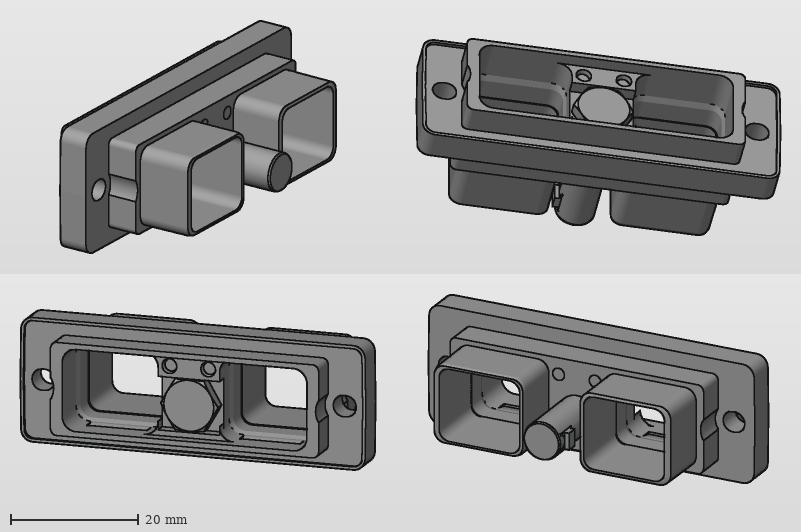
import cadquery as cq
import math


flange_length = 57.4
flange_height = 20.25
flange_front = 4.15
flange_thickness = 4.9
flange_corner_radius = 2.0
flange_end_bulge = 0.145
flange_rim_width = 0.5
flange_recess_depth = 0.5
mounting_hole_spacing = 50.05
mounting_slot_length = 3.8
mounting_slot_height = 3.45

box_length = 44.55
box_height = 15.15
box_depth = 14.2
box_corner_radius = 1.05
screw_relief_radius = 3.3

cavity_length = 40.65
cavity_height = 13.4
cavity_corner_radius = 2.3
divider_front = 2.05
divider_width = 10.2
bay_width = (cavity_length - divider_width) / 2
bay_center = (cavity_length + divider_width) / 4
funnel_start = 6.85
funnel_end = 7.9
funnel_inset = 0.35
throat_corner_radius = cavity_corner_radius - funnel_inset

pocket_front = 4.3
pocket_back = 6.2
pocket_width = 10.0
pocket_depth = 0.4

shroud_front = 11.6
shroud_back = 23.0
shroud_width = 15.9
shroud_height = 13.45
shroud_center = 12.89
shroud_corner_radius = 2.0
shroud_lip = 0.2
shroud_chamfer_length = 0.65
shroud_chamfer_inset = 0.2
shroud_draft = 0.2

bolt_z = -1.45
bolt_across_flats = 8.25
bolt_across_corners = bolt_across_flats / math.cos(math.pi / 6)
bolt_head_seat = 4.15
bolt_head_chamfer_height = 0.35
bolt_shaft_diameter = 6.4
bolt_end = 26.65
bolt_end_chamfer_length = 0.35
bolt_end_chamfer_inset = 0.2
head_slot_height = 8.7

key_x = 23.7
key_width = 2.05
key_height = 2.85
key_base_width = 3.7
key_bottom = 2.6
key_base_top = 2.84
key_flare_top = 3.15
key_top = 3.9

pin_spacing = 6.45
pin_z = 4.75
pin_diameter = 2.05
pin_mouth_diameter = 2.4
pin_setback = 0.85


def rounded_bar(x_start, x_end, width, height, radius, y=0.0):
    """Bar along X with a rounded rectangular section."""
    bar = cq.Workplane("YZ", origin=(x_start, y, 0)).rect(width, height).extrude(x_end - x_start)
    return bar.edges("|X").fillet(radius)


def rounded_section(width, height, radius, y, x):
    """Rounded rectangle in local YZ coordinates, raised to x."""
    section = cq.Sketch().rect(width, height).vertices().fillet(radius)
    return section.moved(cq.Location(cq.Vector(y, 0, x)))


def tapered_bar(start_section, end_section):
    return cq.Workplane("YZ").placeSketch(start_section, end_section).loft()


def round_bar(x_start, x_end, diameter, y, z):
    return cq.Workplane("YZ", origin=(x_start, y, z)).circle(diameter / 2).extrude(x_end - x_start)


def flange_layer(x, thickness, inset):
    """Rounded plate whose ends come to a shallow point at mid-height."""
    tip = flange_length / 2 - inset
    side = tip - flange_end_bulge
    top = flange_height / 2 - inset
    points = [(tip, 0), (side, top), (-side, top), (-tip, 0), (-side, -top), (side, -top)]
    layer = cq.Workplane("YZ", origin=(x, 0, 0)).polyline(points).close().extrude(thickness)
    return layer.edges("|X").edges(">Z or <Z").fillet(flange_corner_radius - inset)


def make_flange():
    plate = flange_layer(flange_front, flange_thickness, 0)
    return plate.cut(flange_layer(flange_front, flange_recess_depth, flange_rim_width))


def make_box():
    box = rounded_bar(0, box_depth, box_length, box_height, box_corner_radius)
    for side in (-1, 1):
        hole_y = side * mounting_hole_spacing / 2
        box = box.cut(round_bar(0, box_depth, 2 * screw_relief_radius, hole_y, 0))
    return box


def mounting_slots():
    slots = cq.Workplane("YZ", origin=(flange_front, 0, 0))
    slots = slots.pushPoints([(-mounting_hole_spacing / 2, 0), (mounting_hole_spacing / 2, 0)])
    return slots.slot2D(mounting_slot_length, mounting_slot_height).extrude(flange_thickness)


def bay_space(side):
    """Bay, funnel and throat on one side of the divider, up to the shroud."""
    y = side * bay_center
    throat_width = bay_width - 2 * funnel_inset
    throat_height = cavity_height - 2 * funnel_inset
    bay = rounded_bar(divider_front, funnel_start, bay_width, cavity_height, cavity_corner_radius, y)
    funnel = tapered_bar(
        rounded_section(bay_width, cavity_height, cavity_corner_radius, y, funnel_start),
        rounded_section(throat_width, throat_height, throat_corner_radius, y, funnel_end),
    )
    throat = rounded_bar(funnel_end, shroud_front, throat_width, throat_height, throat_corner_radius, y)
    return bay.union(funnel).union(throat)


def floor_pocket(side):
    """Pocket that is deepest at its front and runs out at its back."""
    floor = -cavity_height / 2
    profile = [(pocket_front, floor), (pocket_back, floor), (pocket_front, floor - pocket_depth)]
    pocket = cq.Workplane("XZ", origin=(0, side * bay_center, 0)).polyline(profile).close()
    return pocket.extrude(pocket_width / 2, both=True)


def head_slot():
    """Slot across the divider that stops the bolt head turning."""
    depth = bolt_head_seat - divider_front
    slot = cq.Workplane("YZ", origin=(divider_front, 0, bolt_z))
    return slot.rect(divider_width, head_slot_height).extrude(depth)


def shroud_block(side):
    """Shroud without its bore; the side away from the divider tapers towards the back."""
    inner = side * (shroud_center - shroud_width / 2)
    outer = side * (shroud_center + shroud_width / 2)
    outer_front = outer + side * shroud_draft
    profile = [(shroud_front, inner), (shroud_back, inner), (shroud_back, outer), (shroud_front, outer_front)]
    block = cq.Workplane("XY").polyline(profile).close().extrude(shroud_height / 2, both=True)
    block = block.edges("not(|Y or |Z)").fillet(shroud_corner_radius)
    return block.faces(">X").chamfer(shroud_chamfer_length, shroud_chamfer_inset)


def make_shroud(side):
    inset = funnel_inset + shroud_lip
    bore = rounded_bar(
        shroud_front,
        shroud_back,
        bay_width - 2 * inset,
        cavity_height - 2 * inset,
        cavity_corner_radius - inset,
        side * bay_center,
    )
    return shroud_block(side).cut(bore)


def pin_mouth(y):
    """Tapered mouth in front of a contact pin."""
    mouth = cq.Workplane("YZ", origin=(divider_front, y, pin_z)).circle(pin_mouth_diameter / 2)
    return mouth.workplane(offset=pin_setback).circle(pin_diameter / 2).loft()


def make_pin(y):
    return round_bar(divider_front + pin_setback, box_depth, pin_diameter, y, pin_z)


def make_housing():
    housing = make_flange().union(make_box()).cut(mounting_slots())
    mouth = rounded_bar(0, divider_front, cavity_length, cavity_height, cavity_corner_radius)
    housing = housing.cut(mouth).cut(head_slot())
    housing = housing.cut(round_bar(bolt_head_seat, box_depth, bolt_shaft_diameter, 0, bolt_z))
    for side in (-1, 1):
        housing = housing.cut(bay_space(side)).cut(floor_pocket(side))
        housing = housing.cut(shroud_block(side))
        pin_y = side * pin_spacing / 2
        housing = housing.cut(pin_mouth(pin_y)).cut(make_pin(pin_y))
    return housing


def make_key():
    """Block on the +Y side of the bolt, widening to a flared base."""
    profile = [
        (key_base_width / 2, key_bottom),
        (key_base_width / 2, key_base_top),
        (key_width / 2, key_flare_top),
        (key_width / 2, key_top),
    ]
    mirrored = [(-x, y) for x, y in reversed(profile)]
    key = cq.Workplane("XY", origin=(key_x, 0, bolt_z)).polyline(profile + mirrored).close()
    return key.extrude(key_height / 2, both=True)


def make_bolt():
    head_height = bolt_head_seat - divider_front
    head = cq.Workplane("YZ", origin=(divider_front, 0, bolt_z))
    head = head.polygon(6, bolt_across_corners).extrude(head_height)
    cone_run = (bolt_across_corners - bolt_across_flats) / 2
    blank = round_bar(divider_front, bolt_head_seat, bolt_across_corners, 0, bolt_z)
    blank = blank.faces("<X").chamfer(bolt_head_chamfer_height, cone_run)
    shaft = round_bar(bolt_head_seat, bolt_end, bolt_shaft_diameter, 0, bolt_z)
    shaft = shaft.faces(">X").chamfer(bolt_end_chamfer_length, bolt_end_chamfer_inset)
    return head.intersect(blank).union(shaft)


key = make_key()
housing = make_housing()
bolt = make_bolt().cut(key)
shrouds = [make_shroud(side) for side in (-1, 1)]
pins = [make_pin(side * pin_spacing / 2) for side in (-1, 1)]

result = cq.Compound.makeCompound([
    housing.val(),
    bolt.val(),
    key.val(),
    *[shroud.val() for shroud in shrouds],
    *[pin.val() for pin in pins],
])